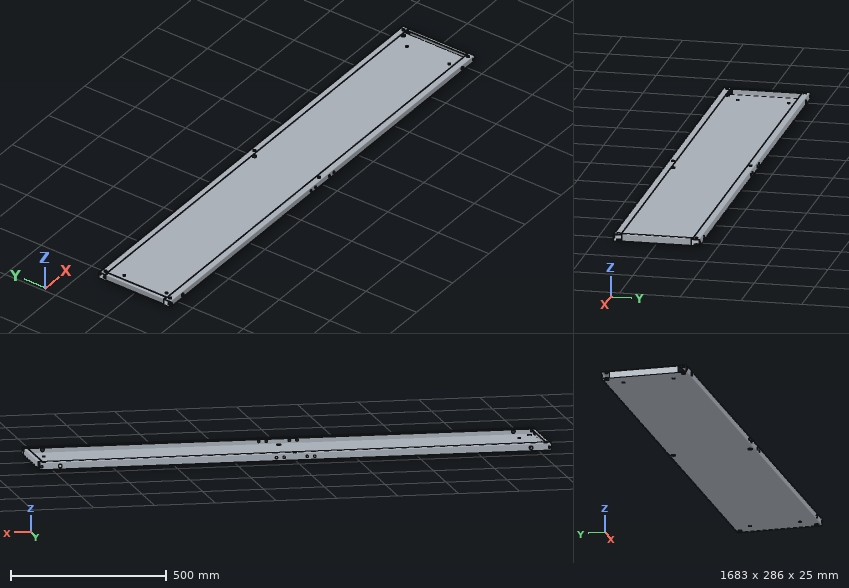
import cadquery as cq

length = 1683.02
width = 286.0
height = 25.0

sheet = 2.4
inner_radius = 0.1
outer_radius = inner_radius + sheet

side_length = 1683.0
side_flange = 25.0

end_wall_width = 229.0
end_flange = 14.0

flange_hole_diameter = 9.5
access_hole_diameter = 14.0
flange_hole_from_side = 15.0
flange_hole_from_end = 17.0

floor_hole_diameter = 8.5
floor_hole_spacing_x = 1564.0
floor_hole_spacing_y = 167.0

corner_hole_diameter = 7.0
corner_hole_from_end = 7.0
end_hole_diameter = 12.0
end_hole_from_end = 67.5
centre_hole_diameter = 8.0
centre_hole_offsets = (38.0, 63.0)


def folded_channel(span, run, flange):
    """Channel along X: a floor, two walls `span` apart and inward return flanges."""
    start = cq.Workplane("YZ", origin=(-run / 2, 0, height / 2))
    outside = start.rect(span, height).extrude(run).edges("|X").fillet(outer_radius)
    inside = start.rect(span - 2 * sheet, height - 2 * sheet).extrude(run)
    inside = inside.edges("|X").fillet(inner_radius)
    opening = cq.Workplane("XY").box(run, span - 2 * flange, height).translate((0, 0, height))
    return outside.cut(inside).cut(opening)


def tray():
    """Two crossed channels that share one floor."""
    sides = folded_channel(width, side_length, side_flange)
    ends = folded_channel(length, end_wall_width, end_flange)
    return sides.union(ends.rotate((0, 0, 0), (0, 0, 1), 90))


def vertical_holes(points, diameter, depth):
    """Cutters rising `depth` from the underside."""
    return cq.Workplane("XY").pushPoints(points).circle(diameter / 2).extrude(depth)


def wall_holes(offsets, diameter):
    """Cutters along Y through both long walls, mirrored about the middle of the length."""
    points = [(side * offset, height / 2) for offset in offsets for side in (-1, 1)]
    front = cq.Workplane("XZ", origin=(0, -width / 2, 0))
    return front.pushPoints(points).circle(diameter / 2).extrude(-width)


flange_hole_x = length / 2 - flange_hole_from_end
flange_hole_y = width / 2 - flange_hole_from_side
flange_hole_points = [
    (x, y)
    for x in (-flange_hole_x, 0, flange_hole_x)
    for y in (-flange_hole_y, flange_hole_y)
]
floor_hole_points = [
    (x_side * floor_hole_spacing_x / 2, y_side * floor_hole_spacing_y / 2)
    for x_side in (-1, 1)
    for y_side in (-1, 1)
]

result = (
    tray()
    .cut(vertical_holes(flange_hole_points, flange_hole_diameter, height))
    .cut(vertical_holes(flange_hole_points, access_hole_diameter, sheet))
    .cut(vertical_holes(floor_hole_points, floor_hole_diameter, sheet))
    .cut(wall_holes([length / 2 - corner_hole_from_end], corner_hole_diameter))
    .cut(wall_holes([length / 2 - end_hole_from_end], end_hole_diameter))
    .cut(wall_holes(centre_hole_offsets, centre_hole_diameter))
)